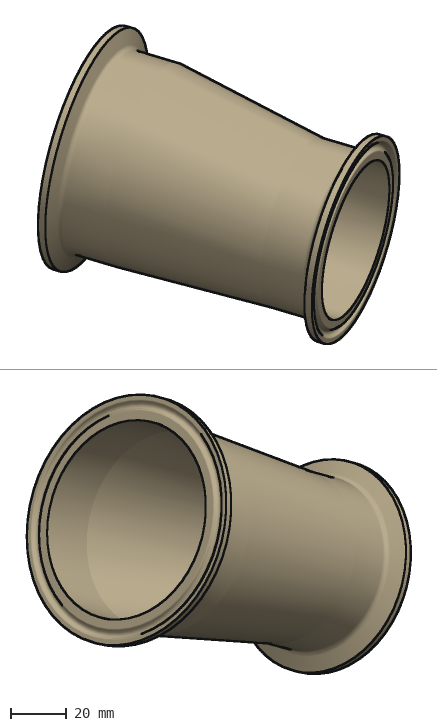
import cadquery as cq
import math

length = 107.0
ferrule_length = 23.0
large_tube_radius = 76.3 / 2
small_tube_radius = 63.5 / 2
small_bore_radius = 59.5 / 2
wall = small_tube_radius - small_bore_radius
large_flange_radius = 91.0 / 2
small_flange_radius = 77.5 / 2

small_axis_y = small_tube_radius - large_tube_radius

rim_thickness = 2.9
back_angle = math.radians(20)
blend_radius = 2.1

groove_inset = 3.9
groove_half_width = 2.0
groove_edge_radius = 0.7
groove_wall_angle = math.radians(70)


def polar(center, radius, angle):
    """Point on an arc, with the angle measured from +X towards +radius."""
    return (center[0] + radius * math.cos(angle), center[1] + radius * math.sin(angle))


def flange_ring(tube_radius, flange_radius):
    """Ferrule about the X axis, with its sealing face at X = 0 and its tube towards +X."""
    bore_radius = tube_radius - wall

    corner_x = rim_thickness + (flange_radius - tube_radius) * math.tan(back_angle)
    blend_setback = blend_radius * math.tan((math.pi / 2 - back_angle) / 2)
    blend_center = (corner_x + blend_setback, tube_radius + blend_radius)
    slope_normal = math.pi + back_angle
    blend_start = polar(blend_center, blend_radius, slope_normal)
    blend_middle = polar(blend_center, blend_radius, (slope_normal + 1.5 * math.pi) / 2)
    blend_end = (blend_center[0], tube_radius)

    groove_radius = flange_radius - groove_inset
    center_distance = groove_half_width / math.sin(groove_wall_angle)
    bottom_radius = center_distance - groove_edge_radius
    bottom_center = (groove_edge_radius - center_distance * math.cos(groove_wall_angle), groove_radius)
    inner_center = (groove_edge_radius, groove_radius - groove_half_width)
    outer_center = (groove_edge_radius, groove_radius + groove_half_width)
    half_angle = groove_wall_angle / 2

    profile = (
        cq.Workplane("XY")
        .moveTo(0, bore_radius)
        .lineTo(0, inner_center[1])
        .threePointArc(
            polar(inner_center, groove_edge_radius, math.pi - half_angle),
            polar(inner_center, groove_edge_radius, math.pi - groove_wall_angle),
        )
        .threePointArc(
            polar(bottom_center, bottom_radius, 0),
            polar(bottom_center, bottom_radius, groove_wall_angle),
        )
        .threePointArc(
            polar(outer_center, groove_edge_radius, math.pi + half_angle),
            (0, outer_center[1]),
        )
        .lineTo(0, flange_radius)
        .lineTo(rim_thickness, flange_radius)
        .lineTo(*blend_start)
        .threePointArc(blend_middle, blend_end)
        .lineTo(ferrule_length, tube_radius)
        .lineTo(ferrule_length, bore_radius)
        .close()
    )
    return profile.revolve(360, (0, 0, 0), (1, 0, 0))


def offset_cone(large_radius, small_radius):
    """Solid cone between the two ferrules, with its small end on the shifted axis."""
    return (
        cq.Workplane("YZ", origin=(ferrule_length, 0, 0))
        .circle(large_radius)
        .workplane(offset=length - 2 * ferrule_length)
        .center(small_axis_y, 0)
        .circle(small_radius)
        .loft(ruled=True)
    )


large_ferrule = flange_ring(large_tube_radius, large_flange_radius)
small_ferrule = (
    flange_ring(small_tube_radius, small_flange_radius)
    .mirror("YZ")
    .translate((length, small_axis_y, 0))
)
cone_shell = offset_cone(large_tube_radius, small_tube_radius).cut(
    offset_cone(large_tube_radius - wall, small_bore_radius)
)

result = large_ferrule.union(cone_shell).union(small_ferrule)